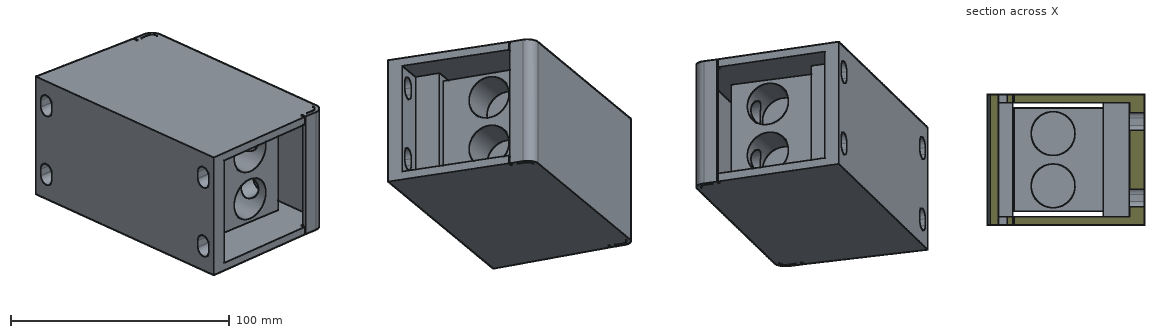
import cadquery as cq

width = 118.0
depth = 72.0
height = 60.0
rear_width = 113.8
mid_z = height / 2

deck_thickness = 3.9
front_thickness = 7.0
cover_thickness = 2.0
cover_front_y = 60.3
corner_radius = 5.3
inner_radius = corner_radius - cover_thickness
cover_inner_half = rear_width / 2 - cover_thickness
cover_inner_y = depth - cover_thickness
cavity_height = height - 2 * deck_thickness

edge_gap = 0.6
edge_gap_length = 2.4
corner_gap = 0.2
corner_gap_start_y = 63.0

block_width = 78.5
block_height = 47.4
block_front_y = 19.0
block_rear_y = cover_front_y - edge_gap
pad_width = 87.3
join_overlap = 0.2

bore_diameter = 20.1
bore_depth = 20.1
bore_y = 41.9
bore_spacing = 24.0
screw_diameter = 12.0
screw_x = 28.4

slot_width = 7.2
slot_height = 10.5
slot_spacing_x = 104.1
slot_spacing_z = 34.9


def box(size_x, y_start, y_end, size_z):
    """Box centred on X = 0 and on the housing mid-height."""
    solid = cq.Workplane("XY").box(size_x, y_end - y_start, size_z, centered=(True, False, True))
    return solid.translate((0, y_start, mid_z))


def make_housing():
    """Tapered body with a straight, rounded rear, hollow and open at both ends."""
    body = (
        cq.Workplane("XY")
        .moveTo(-width / 2, 0)
        .lineTo(width / 2, 0)
        .lineTo(rear_width / 2, cover_front_y)
        .lineTo(rear_width / 2, depth)
        .lineTo(-rear_width / 2, depth)
        .lineTo(-rear_width / 2, cover_front_y)
        .close()
        .extrude(height)
        .edges("|Z and >Y")
        .fillet(corner_radius)
    )
    side_opening = box(width, front_thickness, cover_front_y, cavity_height)
    cover_pocket = (
        box(2 * cover_inner_half, front_thickness, cover_inner_y, cavity_height)
        .edges("|Z and >Y")
        .fillet(inner_radius)
    )
    return body.cut(side_opening).cut(cover_pocket)


def make_cover_gaps():
    """Thin clearances through both decks at the left and right rear corners."""
    radius = inner_radius
    mid_offset = radius * (1 - 0.5 ** 0.5)
    inset = corner_gap * 0.5 ** 0.5
    outer_x = -cover_inner_half
    corner = (
        cq.Workplane("XY")
        .moveTo(outer_x, corner_gap_start_y)
        .lineTo(outer_x, cover_inner_y - radius)
        .threePointArc(
            (outer_x + mid_offset, cover_inner_y - mid_offset),
            (outer_x + radius, cover_inner_y),
        )
        .lineTo(outer_x + radius, cover_inner_y - corner_gap)
        .threePointArc(
            (outer_x + mid_offset + inset, cover_inner_y - mid_offset - inset),
            (outer_x + corner_gap, cover_inner_y - radius),
        )
        .lineTo(outer_x + corner_gap, corner_gap_start_y)
        .close()
        .extrude(height)
    )
    edge = (
        cq.Workplane("XY")
        .box(2 * edge_gap_length, edge_gap, height, centered=(True, False, False))
        .translate((-rear_width / 2, block_rear_y, 0))
    )
    left = corner.union(edge)
    return left.union(left.mirror("YZ"))


def make_block():
    """Terminal block with two bores in each end and a screw hole into each bore."""
    block = box(block_width, block_front_y - join_overlap, block_rear_y, block_height)
    for side in (-1, 1):
        for level in (-1, 1):
            bore_z = mid_z + level * bore_spacing / 2
            bore = cq.Solid.makeCylinder(
                bore_diameter / 2,
                bore_depth,
                cq.Vector(side * block_width / 2, bore_y, bore_z),
                cq.Vector(-side, 0, 0),
            )
            screw_hole = cq.Solid.makeCylinder(
                screw_diameter / 2,
                block_rear_y - bore_y,
                cq.Vector(side * screw_x, bore_y, bore_z),
                cq.Vector(0, 1, 0),
            )
            block = block.cut(cq.Workplane(bore)).cut(cq.Workplane(screw_hole))
    pad = box(pad_width, front_thickness - join_overlap, block_front_y, cavity_height)
    return block.union(pad)


def make_slots():
    """Four upright round-ended slots through the front wall."""
    return (
        cq.Workplane("XZ", origin=(0, 0, mid_z))
        .rarray(slot_spacing_x, slot_spacing_z, 2, 2)
        .slot2D(slot_height, slot_width, 90)
        .extrude(-front_thickness)
    )


result = make_housing().cut(make_cover_gaps()).union(make_block()).cut(make_slots())